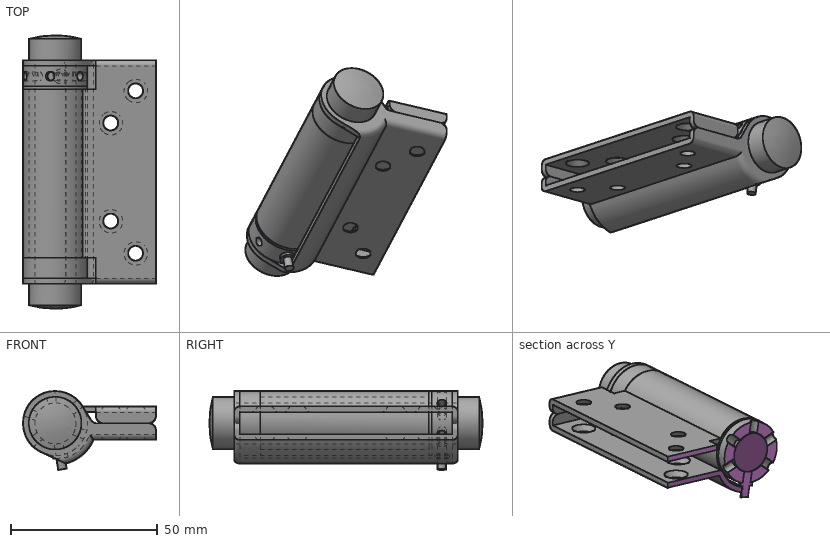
import cadquery as cq
import math


SHEET = 2.0
BARREL_R = 11.0
BORE_R = BARREL_R - SHEET
LEAF_X = 34.5
LEAF_DEPTH = 5.75
PLATE_INNER = LEAF_DEPTH - SHEET
LEAF_HALF = 38.25
INNER_HALF = LEAF_HALF - SHEET
FLANGE_CORNER_R = 2.5

RING_LENGTH = 7.0
WASHER_LENGTH = 1.0
RING_END = INNER_HALF - RING_LENGTH
BARREL_TOP = RING_END - WASHER_LENGTH
BARREL_BOTTOM = -RING_END
NOTCH_X = 13.9

SPINDLE_R = 7.0
HEAD_R = 9.0
HEAD_END = 45.5
SPINDLE_TIP = 46.75

PIN_R = 1.5
PIN_TIP = 16.0
SHOULDER_R = 2.5
SHOULDER_TIP = 12.0
HOLE_COUNT = 6
HOLE_Y = RING_END + RING_LENGTH / 2
PIN_ANGLE = -81.0

CURL_INNER_R = 12.3
CURL_OUTER_R = CURL_INNER_R + SHEET
NECK_ANGLE = 32.0

SCREW_R = 2.5
SINK_R = 4.0
SCREW_CENTERS = [
    (x, side * y) for x, y in ((27.5, 27.75), (19.0, 16.75)) for side in (1, -1)
]


def polar(radius, degrees):
    """Point in the XZ plane at a distance and an angle from the barrel axis."""
    angle = math.radians(degrees)
    return (radius * math.cos(angle), radius * math.sin(angle))


def section(y):
    """Workplane across the barrel at height y: local axes are X and Z, extruding toward -Y."""
    return cq.Workplane("XZ", origin=(0, y, 0))


def tube(outer_r, inner_r, y_low, y_high):
    return section(y_high).circle(outer_r).circle(inner_r).extrude(y_high - y_low)


def box(x_range, y_range, z_range):
    sizes = [high - low for low, high in (x_range, y_range, z_range)]
    corner = (x_range[0], y_range[0], z_range[0])
    return cq.Workplane("XY", origin=corner).box(*sizes, centered=False)


def screw_holes():
    """Countersunk holes for the upper leaf, widest on its inner face."""
    hole = cq.Solid.makeCone(SINK_R, SCREW_R, SHEET, cq.Vector(0, 0, PLATE_INNER))
    return cq.Workplane("XY").pushPoints(SCREW_CENTERS).eachpoint(lambda place: hole.moved(place))


def radial_rod(radius, tip, degrees):
    """Round rod from the barrel axis out to a tip at the given distance and angle."""
    x, z = polar(1, degrees)
    rod = cq.Solid.makeCylinder(radius, tip, cq.Vector(0, HOLE_Y, 0), cq.Vector(x, 0, z))
    return cq.Workplane(obj=rod)


def make_upper_leaf():
    plate_z = (PLATE_INNER, LEAF_DEPTH)
    leaf = (
        box((NOTCH_X, LEAF_X), (-LEAF_HALF, LEAF_HALF), (0, LEAF_DEPTH))
        .edges("|X and >Z").fillet(SHEET)
        .edges("|Y and <Z").fillet(FLANGE_CORNER_R)
        .cut(box((0, LEAF_X), (-INNER_HALF, INNER_HALF), (0, PLATE_INNER)))
    )
    bridge = box((0, LEAF_X), (BARREL_BOTTOM, BARREL_TOP), plate_z)
    barrel = section(BARREL_TOP).circle(BARREL_R).extrude(BARREL_TOP - BARREL_BOTTOM)
    bore = section(BARREL_TOP).circle(BORE_R).extrude(BARREL_TOP - BARREL_BOTTOM)
    return leaf.union(bridge).union(barrel).cut(bore).cut(screw_holes())


CURL_JOIN = (math.sqrt(CURL_OUTER_R**2 - LEAF_DEPTH**2), -LEAF_DEPTH)
CURL_TIP_ANGLE = PIN_ANGLE + math.degrees(math.asin(PIN_R / CURL_OUTER_R))
CURL_TIP = polar(CURL_OUTER_R, CURL_TIP_ANGLE)


def end_plate_outline():
    tangent_angle = CURL_TIP_ANGLE - math.degrees(math.acos(BARREL_R / CURL_OUTER_R))
    neck_root_x = BARREL_R / math.cos(math.radians(NECK_ANGLE))
    neck_setback = FLANGE_CORNER_R * math.tan(math.radians(90 - NECK_ANGLE) / 2)
    along_x, along_z = polar(neck_setback, NECK_ANGLE + 90)
    mid_curl_angle = (CURL_TIP_ANGLE + math.degrees(math.atan2(CURL_JOIN[1], CURL_JOIN[0]))) / 2
    return (
        section(LEAF_HALF)
        .moveTo(*polar(BARREL_R, tangent_angle))
        .threePointArc((-BARREL_R, 0), polar(BARREL_R, NECK_ANGLE))
        .lineTo(neck_root_x + along_x, along_z)
        .tangentArcPoint((neck_root_x + neck_setback, 0), relative=False)
        .lineTo(LEAF_X - FLANGE_CORNER_R, 0)
        .tangentArcPoint((LEAF_X, -FLANGE_CORNER_R), relative=False)
        .lineTo(LEAF_X, -LEAF_DEPTH)
        .lineTo(*CURL_JOIN)
        .threePointArc(polar(CURL_OUTER_R, mid_curl_angle), CURL_TIP)
        .close()
    )


def lower_sheet():
    """Plate and curl of constant thickness, with a rounded bend between them."""
    length = 2 * LEAF_HALF
    plate_top = -PLATE_INNER
    full_section = (
        section(LEAF_HALF).circle(CURL_OUTER_R).extrude(length)
        .intersect(box((0, CURL_OUTER_R), (-LEAF_HALF, LEAF_HALF), (-CURL_OUTER_R, plate_top)))
        .union(box((CURL_INNER_R, LEAF_X), (-LEAF_HALF, LEAF_HALF), (-LEAF_DEPTH, plate_top)))
    )
    wall = full_section.cut(section(LEAF_HALF).circle(CURL_INNER_R).extrude(length))
    bend_x = math.sqrt(CURL_INNER_R**2 - plate_top**2)
    wall = wall.edges(cq.NearestToPointSelector((bend_x, 0, plate_top))).fillet(SHEET)
    trim = (
        section(LEAF_HALF)
        .transformed(rotate=(0, 0, PIN_ANGLE))
        .center(0, PIN_R - CURL_OUTER_R)
        .rect(2 * CURL_OUTER_R, 2 * CURL_OUTER_R)
        .extrude(length)
    )
    return wall.cut(trim)


def lower_envelope():
    """Full-length outer shape of the lower leaf with the bends at both ends rounded."""
    curl = section(LEAF_HALF).circle(CURL_OUTER_R).extrude(2 * LEAF_HALF).edges("%CIRCLE").fillet(SHEET)
    plate = (
        box((0, LEAF_X), (-LEAF_HALF, LEAF_HALF), (-LEAF_DEPTH, LEAF_DEPTH))
        .edges("|X and <Z").fillet(SHEET)
    )
    return curl.union(plate)


def make_lower_leaf():
    wall = end_plate_outline().extrude(2 * LEAF_HALF)
    ends = wall.cut(
        box((-CURL_OUTER_R, LEAF_X), (-INNER_HALF, INNER_HALF), (-CURL_OUTER_R, BARREL_R))
    )
    spindle_hole = section(LEAF_HALF).circle(SPINDLE_R).extrude(2 * LEAF_HALF)
    return (
        lower_sheet().union(ends)
        .intersect(lower_envelope())
        .cut(spindle_hole)
        .cut(screw_holes().mirror("XY"))
    )


def dome_midpoint():
    """Point halfway along the dome's arc, from the rim to the crown."""
    rise = SPINDLE_TIP - HEAD_END
    dome_r = (HEAD_R**2 + rise**2) / (2 * rise)
    half_angle = math.asin(HEAD_R / dome_r) / 2
    return (dome_r * math.sin(half_angle), SPINDLE_TIP - dome_r * (1 - math.cos(half_angle)))


def make_spindle():
    half_profile = (
        cq.Workplane("XY")
        .moveTo(0, 0)
        .lineTo(SPINDLE_R, 0)
        .lineTo(SPINDLE_R, LEAF_HALF)
        .lineTo(HEAD_R, LEAF_HALF)
        .lineTo(HEAD_R, HEAD_END)
        .threePointArc(dome_midpoint(), (0, SPINDLE_TIP))
        .close()
    )
    half = half_profile.revolve(360, (0, 0, 0), (0, 1, 0))
    return half.union(half.mirror("XZ"))


def make_tension_collar():
    collar = tube(BARREL_R, SPINDLE_R, RING_END, INNER_HALF)
    for index in range(HOLE_COUNT):
        angle = PIN_ANGLE + index * 360 / HOLE_COUNT
        collar = collar.cut(radial_rod(PIN_R, PIN_TIP, angle))
    return collar


def make_washer():
    return tube(BARREL_R, SPINDLE_R, BARREL_TOP, RING_END)


def make_fixed_ring():
    return tube(BARREL_R, SPINDLE_R, -INNER_HALF, -RING_END)


def make_tension_pin():
    shank = radial_rod(PIN_R, PIN_TIP, PIN_ANGLE)
    shoulder = radial_rod(SHOULDER_R, SHOULDER_TIP, PIN_ANGLE)
    collar_space = section(INNER_HALF).circle(BARREL_R).extrude(RING_LENGTH)
    spindle_space = section(INNER_HALF).circle(SPINDLE_R).extrude(RING_LENGTH)
    return shank.cut(spindle_space).union(shoulder.cut(collar_space))


upper_leaf = make_upper_leaf()
lower_leaf = make_lower_leaf()
spindle = make_spindle()
tension_collar = make_tension_collar()
washer = make_washer()
fixed_ring = make_fixed_ring()
tension_pin = make_tension_pin()

result = cq.Compound.makeCompound([
    upper_leaf.solids().val(),
    lower_leaf.solids().val(),
    spindle.solids().val(),
    tension_collar.solids().val(),
    washer.solids().val(),
    fixed_ring.solids().val(),
    tension_pin.solids().val(),
])